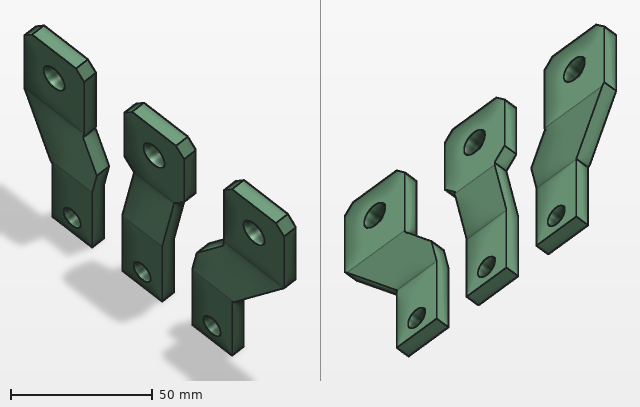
import cadquery as cq
import math

row_width = 130.0
link_height = 83.0
thickness = 6.0

plate_width = 30.0
plate_height = 33.0
strip_width = 20.0
strip_height = 29.9
corner_chamfer = 4.0
plate_hole_diameter = 10.5
strip_hole_diameter = 8.6
plate_hole_drop = 15.0
strip_hole_rise = 7.9

plate_bottom = link_height - plate_height
plate_hole_z = link_height - plate_hole_drop

jog_height = plate_bottom - strip_height
bend_angle = math.asin(thickness / jog_height)
bend_shift = thickness * math.tan(bend_angle / 2)

side_shift = jog_height
strip_left = side_shift
strip_right = strip_left + strip_width
diagonal_gap = strip_width * math.sqrt(2)
notch_top = plate_bottom + diagonal_gap - plate_width
notch_bottom = plate_bottom + diagonal_gap - strip_right


def bent_sheet():
    """Side profile of the jogged sheet, extruded across the whole row."""
    return (
        cq.Workplane("YZ")
        .workplane(offset=-row_width / 2)
        .polyline([
            (-thickness, 0),
            (0, 0),
            (0, strip_height),
            (thickness, plate_bottom - bend_shift),
            (thickness, link_height),
            (0, link_height),
            (0, plate_bottom),
            (-thickness, strip_height + bend_shift),
        ])
        .close()
        .extrude(row_width)
    )


def through_prism(outline):
    """Close an XZ outline and extrude it through the full depth in Y."""
    return outline.extrude(thickness, both=True)


def hole(x, z, diameter):
    return through_prism(cq.Workplane("XZ").center(x, z).circle(diameter / 2))


def cut_link(outline_points, plate_x, strip_x):
    """Trim the bent sheet to an outline and drill its two holes."""
    outline = cq.Workplane("XZ").polyline(outline_points).close()
    return (
        bent_sheet()
        .intersect(through_prism(outline))
        .cut(hole(plate_x, plate_hole_z, plate_hole_diameter))
        .cut(hole(strip_x, strip_hole_rise, strip_hole_diameter))
    )


def plate_top(left):
    """Chamfered top corners of a plate, from its left edge to its right edge."""
    right = left + plate_width
    return [
        (left, link_height - corner_chamfer),
        (left + corner_chamfer, link_height),
        (right - corner_chamfer, link_height),
        (right, link_height - corner_chamfer),
    ]


def make_offset_link():
    """Left-hand link, its strip shifted toward the middle of the row."""
    left = -row_width / 2
    points = [
        (left + strip_left, 0),
        (left + strip_left, plate_bottom - side_shift),
        (left, plate_bottom),
        *plate_top(left),
        (left + plate_width, notch_top),
        (left + strip_right, notch_bottom),
        (left + strip_right, 0),
    ]
    return cut_link(points, left + plate_width / 2, left + strip_left + strip_width / 2)


def make_straight_link():
    """Middle link, its plate tapering at 45 degrees to the strip width."""
    half_plate = plate_width / 2
    half_strip = strip_width / 2
    taper_top = plate_bottom + half_plate - half_strip
    points = [
        (-half_strip, 0),
        (-half_strip, plate_bottom),
        (-half_plate, taper_top),
        *plate_top(-half_plate),
        (half_plate, taper_top),
        (half_strip, plate_bottom),
        (half_strip, 0),
    ]
    return cut_link(points, 0, 0)


left_link = make_offset_link()
right_link = left_link.mirror("YZ")
straight_link = make_straight_link()

result = cq.Compound.makeCompound([left_link.val(), straight_link.val(), right_link.val()])